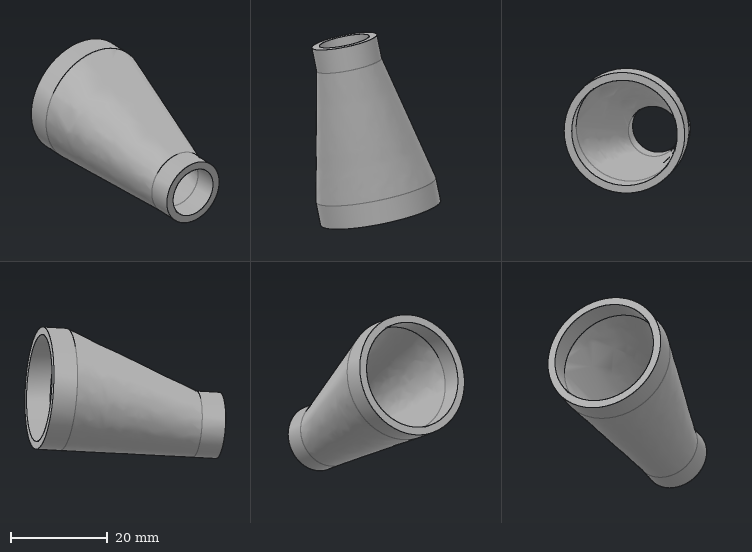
import cadquery as cq

total_length = 38.0
collar_length = 5.0
large_outer_diameter = 25.4
large_bore_diameter = 22.1
small_outer_diameter = 13.8
small_bore_diameter = 10.5

taper_length = total_length - 2 * collar_length
small_end_drop = (large_outer_diameter - small_outer_diameter) / 2


def reducer_solid(large_diameter, small_diameter):
    """Large cylinder, eccentric taper and small cylinder joined end to end."""
    large_end = cq.Workplane("YZ").circle(large_diameter / 2).extrude(collar_length)
    taper = (
        cq.Workplane("YZ", origin=(collar_length, 0, 0))
        .circle(large_diameter / 2)
        .workplane(offset=taper_length)
        .center(0, -small_end_drop)
        .circle(small_diameter / 2)
        .loft(ruled=True)
    )
    small_end = (
        cq.Workplane("YZ", origin=(total_length - collar_length, 0, -small_end_drop))
        .circle(small_diameter / 2)
        .extrude(collar_length)
    )
    return large_end.union(taper).union(small_end)


outer_body = reducer_solid(large_outer_diameter, small_outer_diameter)
bore = reducer_solid(large_bore_diameter, small_bore_diameter)
result = outer_body.cut(bore)